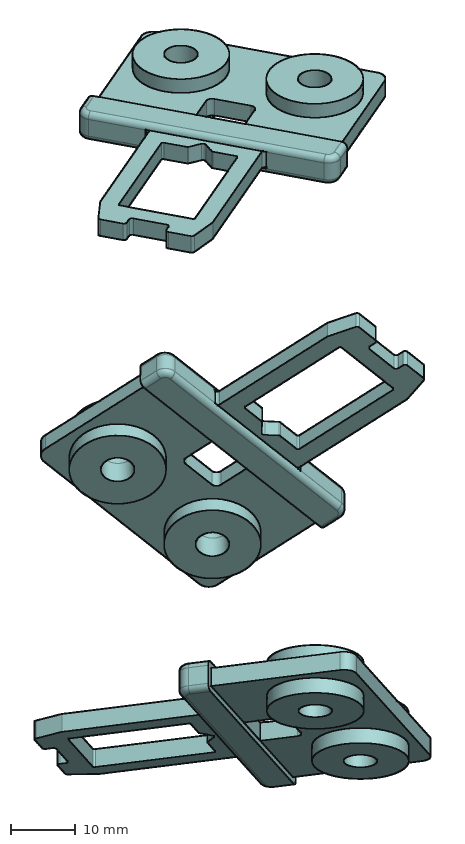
import cadquery as cq


sheet_thickness = 3.0
plate_width = 40.0
plate_back_y = 28.0
plate_corner_radius = 2.0
blade_width = 18.5
blade_tip_y = -28.0

collar_width = 42.7
collar_thickness = 5.0
collar_back_y = 5.0
collar_front_y = -0.3
collar_corner_radius = 2.0
collar_edge_radius = (collar_thickness - sheet_thickness) / 2

shoulder_y = 0.2
shoulder_radius = 0.7
collar_opening_width = blade_width + 2 * shoulder_radius

window_width = 12.5
window_back_y = -3.0
window_front_y = -23.0
window_corner_radius = 0.3
v_notch_width = 4.0
v_notch_depth = v_notch_width / 2
v_notch_tip_radius = 0.5

taper_start_y = window_front_y
tip_width = 15.6
tip_notch_width = 6.5
tip_notch_depth = 2.0
tip_corner_radius = 0.5

slot_width = 8.0
slot_back_y = 12.0
slot_corner_radius = 1.0

bushing_diameter = 15.0
bushing_bore = 5.2
bushing_height = 8.0
bushing_spacing = 22.0
bushing_y = 19.0
bushing_centers = [(-bushing_spacing / 2, bushing_y), (bushing_spacing / 2, bushing_y)]


def block(width, y_min, y_max, thickness):
    """Box centred on X = 0 and Z = 0, between two Y positions."""
    return (
        cq.Workplane("XY")
        .box(width, y_max - y_min, thickness)
        .translate((0, (y_min + y_max) / 2, 0))
    )


def symmetric_prism(right_side):
    """Sheet-thick prism from the +X half of its outline, mirrored about X = 0."""
    left_side = [(-x, y) for x, y in reversed(right_side) if x != 0]
    return (
        cq.Workplane("XY")
        .workplane(offset=-sheet_thickness / 2)
        .polyline(right_side + left_side)
        .close()
        .extrude(sheet_thickness)
    )


def upright_edges(body, y_min, y_max, max_width):
    """Vertical edges of a body within a Y band and a width centred on X = 0."""
    margin = 0.01
    band = cq.selectors.BoxSelector(
        (-max_width / 2 - margin, y_min - margin, -bushing_height),
        (max_width / 2 + margin, y_max + margin, bushing_height),
    )
    return body.edges("|Z").edges(band)


def make_blank():
    """Outline of the plate and blade, with rounded corners."""
    notch_floor_y = blade_tip_y + tip_notch_depth
    blank = symmetric_prism([
        (tip_notch_width / 2, notch_floor_y),
        (tip_notch_width / 2, blade_tip_y),
        (tip_width / 2, blade_tip_y),
        (blade_width / 2, taper_start_y),
        (blade_width / 2, shoulder_y),
        (plate_width / 2, shoulder_y),
        (plate_width / 2, plate_back_y),
    ])
    blank = upright_edges(blank, plate_back_y, plate_back_y, plate_width).fillet(plate_corner_radius)
    blank = upright_edges(blank, shoulder_y, shoulder_y, blade_width).fillet(shoulder_radius)
    return upright_edges(blank, blade_tip_y, notch_floor_y, tip_width).fillet(tip_corner_radius)


def make_window():
    """Cutter for the blade window and its V notch."""
    notch_tip_y = window_back_y + v_notch_depth
    window = symmetric_prism([
        (window_width / 2, window_front_y),
        (window_width / 2, window_back_y),
        (v_notch_width / 2, window_back_y),
        (0, notch_tip_y),
    ])
    window = upright_edges(window, notch_tip_y, notch_tip_y, v_notch_width).fillet(v_notch_tip_radius)
    return upright_edges(window, window_front_y, window_back_y, window_width).fillet(window_corner_radius)


def make_slot():
    """Cutter for the plate slot, which ends at the back face of the collar."""
    slot = block(slot_width, collar_back_y, slot_back_y, sheet_thickness)
    return upright_edges(slot, slot_back_y, slot_back_y, slot_width).fillet(slot_corner_radius)


def make_key_plate():
    """Plate and blade with window, slot and bushing seats."""
    seats = (
        cq.Workplane("XY")
        .pushPoints(bushing_centers)
        .circle(bushing_diameter / 2)
        .extrude(sheet_thickness / 2, both=True)
    )
    return make_blank().cut(make_window()).cut(make_slot()).cut(seats)


def make_collar(key_plate):
    """Rounded bar around the blade root, hollowed to fit the key plate."""
    bar = block(collar_width, collar_front_y, collar_back_y, collar_thickness)
    bar = bar.edges("|Z and <Y").fillet(collar_corner_radius)
    back_edges = bar.faces(">Y").edges().vals()
    rims = bar.faces("<Z or >Z").edges().vals()
    rounded = [rim for rim in rims if not any(rim.isSame(edge) for edge in back_edges)]
    bar = bar.newObject(rounded).fillet(collar_edge_radius)
    opening = block(collar_opening_width, collar_front_y, shoulder_y, sheet_thickness)
    return bar.cut(opening).cut(key_plate)


def make_bushing(center):
    """Cylindrical bushing with a plain bore, seated through the plate."""
    return (
        cq.Workplane("XY")
        .center(*center)
        .circle(bushing_diameter / 2)
        .circle(bushing_bore / 2)
        .extrude(bushing_height / 2, both=True)
    )


key_plate = make_key_plate()
collar = make_collar(key_plate)
bushings = [make_bushing(center) for center in bushing_centers]

result = cq.Compound.makeCompound([
    key_plate.val(),
    collar.val(),
    *[bushing.val() for bushing in bushings],
])